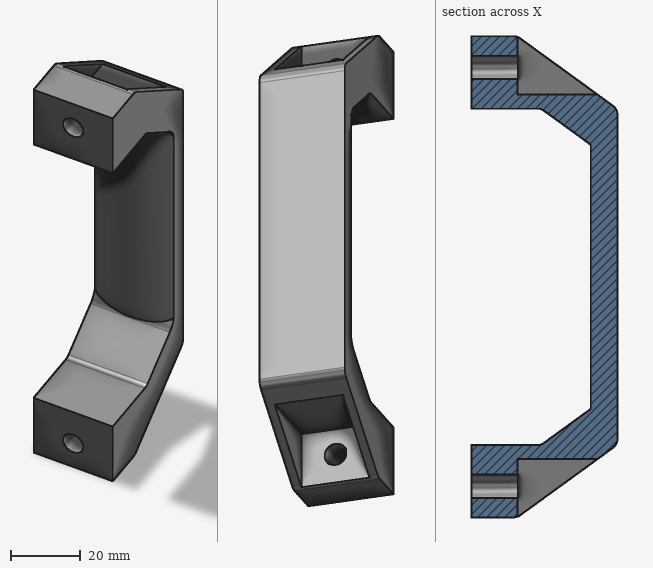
import cadquery as cq
import math

width = 26.0
depth = 42.0
height = 138.0
half_height = height / 2

arm_slope = math.tan(math.radians(36))
foot_thickness = 20.8
outer_bend_y = 13.1
inner_bend_y = 20.0
grip_inner_y = 36.5
outer_bend_radius = 3.5
foot_bend_radius = 2.8
grip_bend_diameter = 12.5

crown_height = 2.2
crown_edge_y = 36.3
crown_end_z = 41.4

pocket_width = 20.7
pocket_front_y = 13.2
pocket_back_y = 36.2

hole_diameter = 6.6
hole_z = 60.0

inner_foot_z = half_height - foot_thickness
outer_grip_z = half_height - arm_slope * (depth - outer_bend_y)
inner_grip_z = inner_foot_z - arm_slope * (grip_inner_y - inner_bend_y)
pocket_floor_z = half_height - arm_slope * (pocket_back_y - outer_bend_y)


def make_bar():
    """Bent bar of constant width with rounded bends."""
    upper_half = [
        (grip_inner_y, inner_grip_z),
        (inner_bend_y, inner_foot_z),
        (0, inner_foot_z),
        (0, half_height),
        (outer_bend_y, half_height),
        (depth, outer_grip_z),
    ]
    lower_half = [(y, -z) for y, z in reversed(upper_half)]
    bar = cq.Workplane("YZ").polyline(upper_half + lower_half).close().extrude(width / 2, both=True)

    bends = [
        (outer_bend_y, half_height, outer_bend_radius),
        (depth, outer_grip_z, outer_bend_radius),
        (inner_bend_y, inner_foot_z, foot_bend_radius),
        (grip_inner_y, inner_grip_z, grip_bend_diameter / 2),
    ]
    for y, z, radius in bends:
        for side in (1, -1):
            nearest_edge = cq.selectors.NearestToPointSelector((0, y, side * z))
            bar = bar.edges("|X").edges(nearest_edge).fillet(radius)
    return bar


def make_crown():
    """Shallow cylindrical bulge along the grip, embedded in the bar."""
    embedded_y = (grip_inner_y + depth) / 2
    return (
        cq.Workplane("XY")
        .workplane(offset=-crown_end_z)
        .moveTo(-width / 2, crown_edge_y)
        .threePointArc((0, crown_edge_y - crown_height), (width / 2, crown_edge_y))
        .lineTo(width / 2, embedded_y)
        .lineTo(-width / 2, embedded_y)
        .close()
        .extrude(2 * crown_end_z)
    )


def make_pocket(side):
    """Pocket block reaching from its floor to the end of the handle."""
    pocket_length = pocket_back_y - pocket_front_y
    pocket_height = half_height - pocket_floor_z
    return cq.Workplane("XY").box(pocket_width, pocket_length, pocket_height).translate(
        (0, (pocket_front_y + pocket_back_y) / 2, side * (half_height + pocket_floor_z) / 2)
    )


def make_hole(side):
    """Mounting hole from the foot face into the pocket."""
    axis_start = cq.Vector(0, 0, side * hole_z)
    hole = cq.Solid.makeCylinder(hole_diameter / 2, depth, axis_start, cq.Vector(0, 1, 0))
    return cq.Workplane(obj=hole)


result = make_bar().union(make_crown())
for end in (1, -1):
    result = result.cut(make_pocket(end)).cut(make_hole(end))